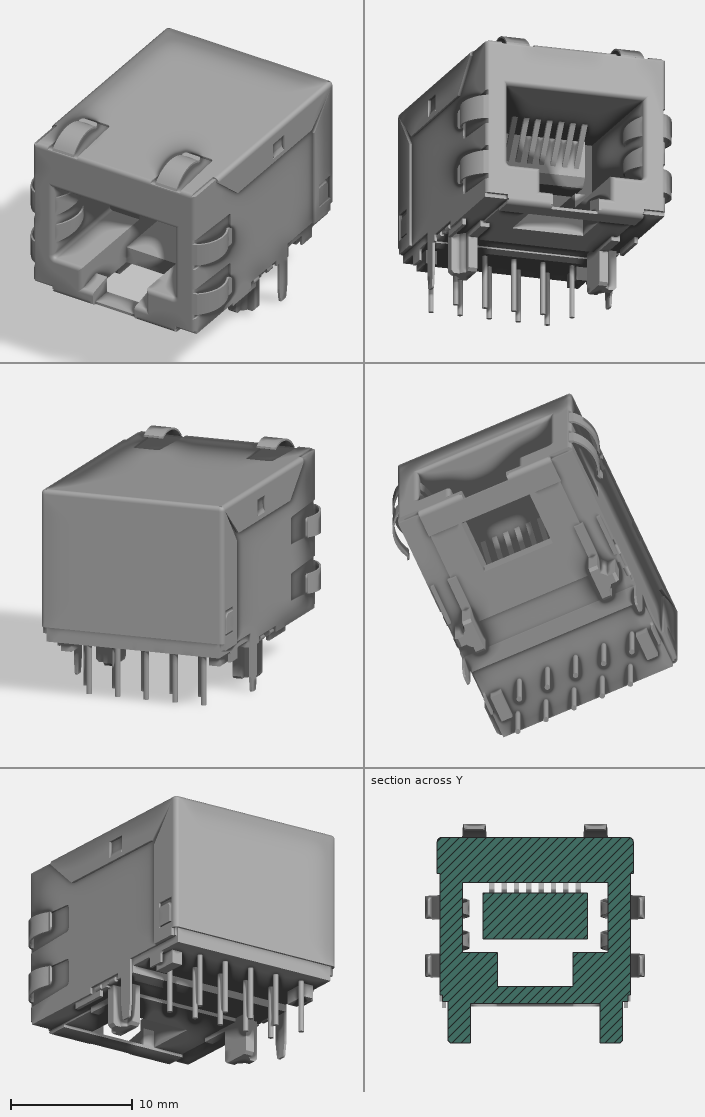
import cadquery as cq
import math


SHEET = 0.2
SHELL_HALF = 7.86
COVER_HALF = 8.1
DEPTH = 21.37
COVER_BACK = 0.22
TOP = 14.09
PIN_TIP = -3.33
BEND = 0.33
COVER_BEND = 0.38

MARGIN = 0.1

HOUSING_HALF = SHELL_HALF - SHEET
HOUSING_BACK = DEPTH - COVER_BACK

FRONT_BOTTOM = 0.35
SHELL_BOTTOM = 0.52
RECESS_BOTTOM = 0.66
REAR_BOTTOM = 1.14
FLAP_BOTTOM = 1.77
BACK_PLATE_BOTTOM = 2.4
REAR_STEP_Y = 14.67

SHELL_BACK_Y = 20.96
NOTCH_FRONT_Y = 8.8
NOTCH_BACK_Y = 12.77
NOTCH_TOP = 1.06
SHELL_PIN_FRONT_Y = 13.23
SHELL_PIN_BACK_Y = 14.5
SHELL_PIN_TAPER_Z = -2.0
SHELL_PIN_TAPER = 0.2
SHELL_PIN_TIP_RADIUS = 0.2
CRIMP_ROLLS_Y = (9.37, 11.43)
CRIMP_ROLL_LENGTH = 0.8
CRIMP_ROLL_RADIUS = 0.2
CRIMP_ROLL_Z = 0.72
TOP_STEP_X = 7.55
TOP_STEP = 0.15

COVER_FRONT_Y = 3.37
FLAP_ROOT_Z = 13.66
FLAP_CORNER_Y = 20.9
TOP_FLAP_BOTTOM = 11.1
TOP_FLAP_FRONT_Y = 6.36
TOP_FLAP_BACK_Y = 17.87
REAR_FLAP_TOP = 10.58
REAR_FLAP_FRONT_Y = 18.3
REAR_FLAP_BACK_Y = 20.84
SNAP_WINDOW = (11.87, 13.65, 11.48, 12.92)
SNAP_GAP = 0.16
SNAP_TOP = 12.52
SNAP_STEP_Z = 11.88
SNAP_STEP = 0.08
TAB_WINDOW = (19.0, 20.84, 2.94, 5.17)
TAB_GAP = 0.18
TAB_TOP_GAP = 0.23
TAB_RISE = 0.2
TAB_CORNER = 0.6
TAB_BEVEL = 0.17

OPEN_HALF = 5.98
OPEN_TOP = 10.32
SHOULDER_Z = 3.43
SHOULDER_FILLET = 0.3
LATCH_HALF = 3.1
LATCH_Z = 1.42
SLOT_HALF = 2.02
OPEN_BEVEL = 0.35
LEDGE_FLAT = 0.4
SLOT_RIM = 0.2
OPEN_DEPTH = 13.0
FLOOR_Y = 7.0
FLOOR_Z = 1.8
FLOOR_HALF = 5.85
STEP_Y = 9.0
STEP_Z = 4.63

LIP_HALF = 5.95
LIP_DEPTH = 2.25
LIP_BOTTOM = 0.11
LIP_BEND = 0.45
FRONT_CORNER_Z = 0.84

FINGER_SHEET = 0.16
FINGER_RISE = 1.215
FINGER_RADIUS = 3.0
FINGER_PEAK_Y = 2.5
FINGER_ROOT_Y = 0.2
FINGER_FOOT_Y = 0.35
FINGER_FOOT_DEPTH = 0.3
FINGER_FLICK = 0.1
FINGER_CORNER = 0.3
FINGER_KINK_Y = 3.93
FINGER_TIP_Y = 4.35
FINGER_ROOT_WIDTH = 2.02
FINGER_TIP_WIDTH = 1.64
FINGER_SLOT_LENGTH = 5.66
FINGER_SLOT_ROOT = 2.9
FINGER_SLOT_END = 2.36
TOP_FINGER_X = 5.0
SIDE_FINGER_Z = (3.5, 8.29)
TOP_FINGER_DROP = 0.135

INNER_FINGER_X = 5.38
INNER_FINGER_BURY = 0.25
INNER_FINGER_FRONT_Y = 0.15
INNER_FINGER_END_Y = 5.4
INNER_FINGER_ROOT_WIDTH = 1.8
INNER_FINGER_END_WIDTH = 0.75
INNER_FINGER_Z = (5.57, 8.2)

PAD_INNER_X = 5.33
PAD_FRONT_Y = 6.36
REAR_PAD_Y = (17.15, 19.45)
REAR_PAD_OUTER_X = 7.05
REAR_RIB_FRONT_Y = 17.1
REAR_RIB_BACK_Y = 18.62
REAR_RIB_BOTTOM = 0.19
RIB_FILLET = 0.25
OUTER_PAD_X = 7.35
PEG_CENTER_Y = 10.79
PEG_REACH = 1.51
PEG_ARM_X = 6.1
PEG_CORE_RADIUS = 0.89
PEG_BOTTOM = -2.9
PEG_TOP = 0.7
PEG_CHAMFER = 0.25

CARRIER_HALF = 4.33
CARRIER_TOP = 9.53
CARRIER_BEVEL_Z = 6.46
CARRIER_BOTTOM = 5.7
CARRIER_Y = 10.0
CARRIER_BEVEL_Y = 10.6
CONTACT_FRONT_Y = 7.8
CONTACT_LOW_Z = 7.15
CONTACT_THICKNESS = 0.3
CONTACT_COUNT = 8
CONTACT_PITCH = 1.017
CONTACT_WIDTH = 0.44
PIN_COUNT = 10
PIN_PITCH = 1.27
PIN_DIAMETER = 0.45
PIN_ROWS_Y = (19.69, 17.15)


def box(x0, x1, y0, y1, z0, z1):
    return cq.Workplane("XY").box(x1 - x0, y1 - y0, z1 - z0, centered=False).translate((x0, y0, z0))


def slab(points, x0, x1):
    """Extrude a (y, z) outline from x0 to x1."""
    return cq.Workplane("YZ").polyline(points).close().extrude(x1 - x0).translate((x0, 0, 0))


def both_sides(shape):
    return shape.union(shape.mirror("YZ"))


def make_envelope():
    """Outer limits of the inner shield, rounded where the sheet is bent at the front."""
    shape = box(-SHELL_HALF, SHELL_HALF, 0, HOUSING_BACK, PIN_TIP, TOP)
    rounded_sides = shape.edges("|Z and <Y").fillet(BEND)
    rounded_top = shape.faces("<Y").edges(">Z").fillet(BEND)
    ahead_of_cover = box(-COVER_HALF, COVER_HALF, 0, COVER_FRONT_Y, PIN_TIP, TOP)
    return rounded_sides.intersect(rounded_top).intersect(ahead_of_cover.union(make_cover_envelope()))


def make_cover_envelope():
    """Outer limits of the rear cover, rounded along its top and rear edges."""
    shape = box(-COVER_HALF, COVER_HALF, COVER_FRONT_Y, DEPTH, PIN_TIP, TOP)
    return shape.edges("(|Y and >Z) or (|Z and >Y) or (|X and >Z and >Y)").fillet(COVER_BEND)


def make_housing():
    """Plastic block behind the shield, with ribs reaching down at the rear of both sides."""
    block = slab(
        [
            (0, SHELL_BOTTOM),
            (PEG_CENTER_Y, SHELL_BOTTOM),
            (PEG_CENTER_Y, RECESS_BOTTOM),
            (SHELL_PIN_FRONT_Y, RECESS_BOTTOM),
            (SHELL_PIN_FRONT_Y, SHELL_BOTTOM),
            (REAR_STEP_Y, SHELL_BOTTOM),
            (REAR_STEP_Y, REAR_BOTTOM),
            (HOUSING_BACK, REAR_BOTTOM),
            (HOUSING_BACK, TOP),
            (0, TOP),
        ],
        -HOUSING_HALF,
        HOUSING_HALF,
    )
    floor = box(-FLOOR_HALF, FLOOR_HALF, 0, PEG_CENTER_Y, FRONT_BOTTOM, REAR_BOTTOM)
    rib = (
        cq.Workplane("YZ")
        .moveTo(REAR_RIB_FRONT_Y - RIB_FILLET, REAR_BOTTOM)
        .radiusArc((REAR_RIB_FRONT_Y, REAR_BOTTOM - RIB_FILLET), RIB_FILLET)
        .lineTo(REAR_RIB_FRONT_Y, REAR_RIB_BOTTOM)
        .lineTo(REAR_RIB_BACK_Y, REAR_RIB_BOTTOM)
        .lineTo(REAR_RIB_BACK_Y, REAR_BOTTOM - RIB_FILLET)
        .radiusArc((REAR_RIB_BACK_Y + RIB_FILLET, REAR_BOTTOM), RIB_FILLET)
        .lineTo(REAR_RIB_BACK_Y + RIB_FILLET, FLAP_BOTTOM)
        .lineTo(REAR_RIB_FRONT_Y - RIB_FILLET, FLAP_BOTTOM)
        .close()
        .extrude(SHEET)
        .translate((-HOUSING_HALF, 0, 0))
    )
    return block.union(floor).union(both_sides(rib))


def make_shell_side():
    """Left side sheet of the inner shield with its tapered solder pin."""
    outline = [
        (0, SHELL_BOTTOM),
        (NOTCH_FRONT_Y, SHELL_BOTTOM),
        (NOTCH_FRONT_Y, NOTCH_TOP),
        (NOTCH_BACK_Y, NOTCH_TOP),
        (NOTCH_BACK_Y, SHELL_BOTTOM),
        (SHELL_PIN_FRONT_Y, SHELL_BOTTOM),
        (SHELL_PIN_FRONT_Y, SHELL_PIN_TAPER_Z),
        (SHELL_PIN_FRONT_Y + SHELL_PIN_TAPER, PIN_TIP),
        (SHELL_PIN_BACK_Y - SHELL_PIN_TAPER, PIN_TIP),
        (SHELL_PIN_BACK_Y, SHELL_PIN_TAPER_Z),
        (SHELL_PIN_BACK_Y, FLAP_BOTTOM),
        (SHELL_BACK_Y, FLAP_BOTTOM),
        (SHELL_BACK_Y, TOP),
        (0, TOP),
    ]
    side = slab(outline, -SHELL_HALF, -HOUSING_HALF)
    tip = cq.selectors.BoxSelector(
        (-COVER_HALF, SHELL_PIN_FRONT_Y, PIN_TIP - MARGIN),
        (0, SHELL_PIN_BACK_Y, PIN_TIP + MARGIN),
    )
    side = side.edges(tip).edges("|X").fillet(SHELL_PIN_TIP_RADIUS)
    for y in CRIMP_ROLLS_Y:
        roll = cq.Workplane("XZ").circle(CRIMP_ROLL_RADIUS).extrude(-CRIMP_ROLL_LENGTH)
        side = side.union(roll.translate((-HOUSING_HALF, y, CRIMP_ROLL_Z)))
    return side


def make_cover():
    """Rear cover: back plate plus the side flaps folded over the inner shield."""
    top_flap = slab(
        [
            (COVER_FRONT_Y, TOP),
            (COVER_FRONT_Y, FLAP_ROOT_Z),
            (TOP_FLAP_FRONT_Y, TOP_FLAP_BOTTOM),
            (TOP_FLAP_BACK_Y, TOP_FLAP_BOTTOM),
            (FLAP_CORNER_Y, FLAP_ROOT_Z),
            (DEPTH, TOP),
        ],
        -COVER_HALF,
        -SHELL_HALF,
    )
    rear_flap = slab(
        [
            (DEPTH, TOP),
            (FLAP_CORNER_Y, FLAP_ROOT_Z),
            (REAR_FLAP_FRONT_Y, REAR_FLAP_TOP),
            (REAR_FLAP_FRONT_Y, FLAP_BOTTOM),
            (REAR_FLAP_BACK_Y, FLAP_BOTTOM),
            (REAR_FLAP_BACK_Y, BACK_PLATE_BOTTOM),
            (DEPTH, BACK_PLATE_BOTTOM),
        ],
        -COVER_HALF,
        -SHELL_HALF,
    )
    flaps = top_flap.union(rear_flap)
    for y0, y1, z0, z1 in (SNAP_WINDOW, TAB_WINDOW):
        flaps = flaps.cut(box(-COVER_HALF, -SHELL_HALF, y0, y1, z0, z1))
    back = box(-COVER_HALF, COVER_HALF, HOUSING_BACK, DEPTH, BACK_PLATE_BOTTOM, TOP)
    return both_sides(flaps).union(back).intersect(make_cover_envelope())


def make_snaps():
    """Snap wedge and pressed tab of the inner shield, seen through the cover's windows."""
    y0, y1, z0, z1 = SNAP_WINDOW
    wedge = (
        cq.Workplane("XZ")
        .polyline([
            (-HOUSING_HALF, z0),
            (-COVER_HALF, z0),
            (-SHELL_HALF - SNAP_STEP, SNAP_STEP_Z),
            (-SHELL_HALF, SNAP_TOP),
            (-HOUSING_HALF, SNAP_TOP),
        ])
        .close()
        .extrude(-(y1 - y0 - 2 * SNAP_GAP))
        .translate((0, y0 + SNAP_GAP, 0))
    )
    y0, y1, z0, z1 = TAB_WINDOW
    tab = box(-SHELL_HALF - TAB_RISE, -HOUSING_HALF, y0, y1 - TAB_GAP, z0 + TAB_GAP, z1 - TAB_TOP_GAP)
    tab = tab.edges("|X and >Y and >Z").fillet(TAB_CORNER)
    tab = tab.faces("<X").edges(">Y or >Z").chamfer(TAB_BEVEL)
    return wedge.union(tab)


def make_opening():
    """Plug opening with its latch channel, open to the board behind the front lip."""
    plug = box(-OPEN_HALF, OPEN_HALF, 0, STEP_Y, SHOULDER_Z, OPEN_TOP)
    plug = plug.edges("|Y and <Z").fillet(SHOULDER_FILLET)
    plug = plug.union(box(-OPEN_HALF, OPEN_HALF, 0, OPEN_DEPTH, STEP_Z, OPEN_TOP))
    latch = slab(
        [
            (0, LATCH_Z),
            (LEDGE_FLAT, LATCH_Z),
            (LIP_DEPTH, FLOOR_Z),
            (LIP_DEPTH, LIP_BOTTOM),
            (FLOOR_Y, LIP_BOTTOM),
            (FLOOR_Y, FLOOR_Z),
            (OPEN_DEPTH, FLOOR_Z),
            (OPEN_DEPTH, OPEN_TOP),
            (0, OPEN_TOP),
        ],
        -LATCH_HALF,
        LATCH_HALF,
    )
    return plug.union(latch)


def shape_front(body):
    """Cut the plug opening, round its rim and fold the lip under the mating face."""
    body = body.cut(make_opening())
    rim = cq.selectors.BoxSelector(
        (-OPEN_HALF - MARGIN, -MARGIN, LATCH_Z - MARGIN),
        (OPEN_HALF + MARGIN, MARGIN, OPEN_TOP + MARGIN),
    )
    body = body.edges(rim).fillet(OPEN_BEVEL)
    for side in (-1, 1):
        x0, x1 = sorted((side * LIP_HALF, side * COVER_HALF))
        body = body.cut(box(x0, x1, 0, BEND, 0, FRONT_CORNER_Z))
    lip = box(-LIP_HALF, LIP_HALF, 0, LIP_DEPTH, LIP_BOTTOM, FRONT_BOTTOM)
    body = body.union(lip)
    body = body.faces("<Y").edges("|X and <Z").fillet(LIP_BEND)
    slot = box(-SLOT_HALF, SLOT_HALF, 0, LIP_DEPTH, FRONT_BOTTOM, FLOOR_Z)
    rim_half = SLOT_HALF + SLOT_RIM
    slot_rim = box(-rim_half, rim_half, 0, LIP_DEPTH, FRONT_BOTTOM, LATCH_Z - OPEN_BEVEL)
    lip_relief = box(-SLOT_HALF, SLOT_HALF, 0, LIP_BEND, LIP_BOTTOM, FRONT_BOTTOM)
    return body.union(slot_rim).cut(slot).cut(lip_relief)


def make_contacts():
    """Contact carrier in the back of the opening and the row of slanted contact wires."""
    carrier = slab(
        [
            (OPEN_DEPTH, CARRIER_BOTTOM),
            (CARRIER_BEVEL_Y, CARRIER_BOTTOM),
            (CARRIER_Y, CARRIER_BEVEL_Z),
            (CARRIER_Y, CARRIER_TOP),
            (OPEN_DEPTH, CARRIER_TOP),
        ],
        -CARRIER_HALF,
        CARRIER_HALF,
    )
    for i in range(CONTACT_COUNT):
        x = (i - (CONTACT_COUNT - 1) / 2) * CONTACT_PITCH
        wire = slab(
            [
                (CONTACT_FRONT_Y, OPEN_TOP),
                (CARRIER_Y, CONTACT_LOW_Z),
                (CARRIER_Y, CONTACT_LOW_Z + CONTACT_THICKNESS),
                (CONTACT_FRONT_Y + CONTACT_THICKNESS, OPEN_TOP),
            ],
            x - CONTACT_WIDTH / 2,
            x + CONTACT_WIDTH / 2,
        )
        carrier = carrier.union(wire)
    return carrier


def trapezoid(root_width, end_width, length):
    """Outline in X and Y, centred on X = 0, narrowing from Y = 0 to the given length."""
    return cq.Workplane("XY").polyline([
        (-root_width / 2, 0),
        (root_width / 2, 0),
        (end_width / 2, length),
        (-end_width / 2, length),
    ]).close()


def arc_point(radius, y):
    """Point at y on the finger arc, which has the given radius about the common centre."""
    center_z = FINGER_RISE - FINGER_RADIUS
    return y, center_z + math.sqrt(radius**2 - (y - FINGER_PEAK_Y) ** 2)


def make_outer_finger():
    """Spring finger bulging to +Z, rooted at Y = 0 and Z = 0, ending in a flicked tip."""
    inner_radius = FINGER_RADIUS - FINGER_SHEET
    outer_kink = arc_point(FINGER_RADIUS, FINGER_KINK_Y)
    inner_kink = arc_point(inner_radius, FINGER_KINK_Y)
    tip_z = outer_kink[1] + FINGER_FLICK
    profile = (
        cq.Workplane("YZ")
        .moveTo(*arc_point(FINGER_RADIUS, FINGER_ROOT_Y))
        .threePointArc(arc_point(FINGER_RADIUS, FINGER_PEAK_Y), outer_kink)
        .lineTo(FINGER_TIP_Y, tip_z)
        .lineTo(FINGER_TIP_Y, tip_z - FINGER_SHEET)
        .lineTo(*inner_kink)
        .threePointArc(arc_point(inner_radius, FINGER_PEAK_Y), arc_point(inner_radius, FINGER_FOOT_Y))
        .lineTo(FINGER_FOOT_Y, -FINGER_FOOT_DEPTH)
        .lineTo(0, -FINGER_FOOT_DEPTH)
        .close()
        .extrude(FINGER_ROOT_WIDTH, both=True)
    )
    blank_height = 2 * FINGER_RISE
    blank = trapezoid(FINGER_ROOT_WIDTH, FINGER_TIP_WIDTH, FINGER_TIP_Y).extrude(blank_height, both=True)
    return profile.intersect(blank.edges("|Z and >Y").fillet(FINGER_CORNER))


def make_finger_slot():
    """Clearance around an outer finger, cut through the sheet below Z = 0."""
    slot = trapezoid(FINGER_SLOT_ROOT, FINGER_SLOT_END, FINGER_SLOT_LENGTH).extrude(-SHEET)
    return slot.edges("|Z and >Y").fillet(FINGER_CORNER)


def on_side(shape, side, z):
    """Move a +Z facing shape to the -X (side -1) or +X (side 1) wall at height z."""
    return shape.rotate((0, 0, 0), (0, 1, 0), 90 * side).translate((side * SHELL_HALF, 0, z))


def add_outer_fingers(body):
    finger = make_outer_finger()
    slot = make_finger_slot()
    for side in (-1, 1):
        x = side * TOP_FINGER_X
        body = body.cut(slot.translate((x, 0, TOP)))
        body = body.union(finger.translate((x, 0, TOP - TOP_FINGER_DROP)))
        for z in SIDE_FINGER_Z:
            body = body.cut(on_side(slot, side, z))
            body = body.union(on_side(finger, side, z))
    return body


def make_inner_fingers():
    """Spring fingers bowed from the left wall into the plug opening."""
    wall = OPEN_HALF + INNER_FINGER_BURY
    back = wall + FINGER_SHEET
    middle_y = (INNER_FINGER_FRONT_Y + INNER_FINGER_END_Y) / 2
    bow = (
        cq.Workplane("XY")
        .moveTo(-wall, INNER_FINGER_FRONT_Y)
        .threePointArc((-INNER_FINGER_X, middle_y), (-wall, INNER_FINGER_END_Y))
        .lineTo(-back, INNER_FINGER_END_Y)
        .threePointArc((-INNER_FINGER_X - FINGER_SHEET, middle_y), (-back, INNER_FINGER_FRONT_Y))
        .close()
        .extrude(INNER_FINGER_ROOT_WIDTH, both=True)
    )
    blank = trapezoid(INNER_FINGER_ROOT_WIDTH, INNER_FINGER_END_WIDTH, INNER_FINGER_END_Y)
    blank = blank.extrude(2 * wall, both=True).rotate((0, 0, 0), (0, 1, 0), 90)
    finger = bow.intersect(blank)
    low, high = INNER_FINGER_Z
    return finger.translate((0, 0, low)).union(finger.translate((0, 0, high)))


def make_board_supports():
    """Stand-off pads and the locating peg on the left side."""
    inner_pad = box(-PEG_ARM_X, -PAD_INNER_X, PAD_FRONT_Y, PEG_CENTER_Y, 0, REAR_BOTTOM)
    outer_pad = box(-HOUSING_HALF, -OUTER_PAD_X, PAD_FRONT_Y, PEG_CENTER_Y - PEG_CORE_RADIUS, 0, REAR_BOTTOM)
    rear_pad = box(-REAR_PAD_OUTER_X, -PEG_ARM_X, *REAR_PAD_Y, 0, REAR_BOTTOM)
    return inner_pad.union(outer_pad).union(rear_pad).union(make_peg())


def make_peg():
    """T-shaped peg: a long arm along Y, a short arm to the outside and a round core."""
    y0 = PEG_CENTER_Y - PEG_REACH
    y1 = PEG_CENTER_Y + PEG_REACH
    long_arm = box(-PEG_ARM_X, -PAD_INNER_X, y0, y1, PEG_BOTTOM, PEG_TOP)
    long_arm = long_arm.faces("<Z").edges("|X").chamfer(PEG_CHAMFER)
    half_arm = (PEG_ARM_X - PAD_INNER_X) / 2
    center_x = -PAD_INNER_X - half_arm
    arm_y0 = PEG_CENTER_Y - half_arm
    arm_y1 = PEG_CENTER_Y + half_arm
    short_arm = box(center_x - PEG_REACH, center_x, arm_y0, arm_y1, PEG_BOTTOM, PEG_TOP)
    short_arm = short_arm.faces("<Z").edges("<X").chamfer(PEG_CHAMFER)
    core = cq.Workplane("XY").circle(PEG_CORE_RADIUS).extrude(PEG_TOP - PEG_BOTTOM)
    core = core.translate((center_x, PEG_CENTER_Y, PEG_BOTTOM))
    core = core.intersect(box(-COVER_HALF, -PAD_INNER_X, y0, y1, PEG_BOTTOM, PEG_TOP))
    return long_arm.union(short_arm).union(core)


def add_pins(body):
    """Two staggered rows of round solder pins."""
    for i in range(PIN_COUNT):
        x = (i - (PIN_COUNT - 1) / 2) * PIN_PITCH
        y = PIN_ROWS_Y[i % 2]
        pin = cq.Workplane("XY").circle(PIN_DIAMETER / 2).extrude(FLAP_BOTTOM - PIN_TIP)
        body = body.union(pin.translate((x, y, PIN_TIP)))
    return body


def cut_top_corners(body):
    """Step along the top edges ahead of the cover."""
    for side in (-1, 1):
        x0, x1 = sorted((side * TOP_STEP_X, side * COVER_HALF))
        body = body.cut(box(x0, x1, 0, COVER_FRONT_Y, TOP - TOP_STEP, TOP))
    return body


body = make_housing().union(both_sides(make_shell_side())).intersect(make_envelope())
body = shape_front(cut_top_corners(body))
body = body.union(make_cover()).union(both_sides(make_snaps()))
body = body.union(both_sides(make_inner_fingers())).union(make_contacts())
body = add_outer_fingers(body)
body = body.union(both_sides(make_board_supports()))
result = add_pins(body)